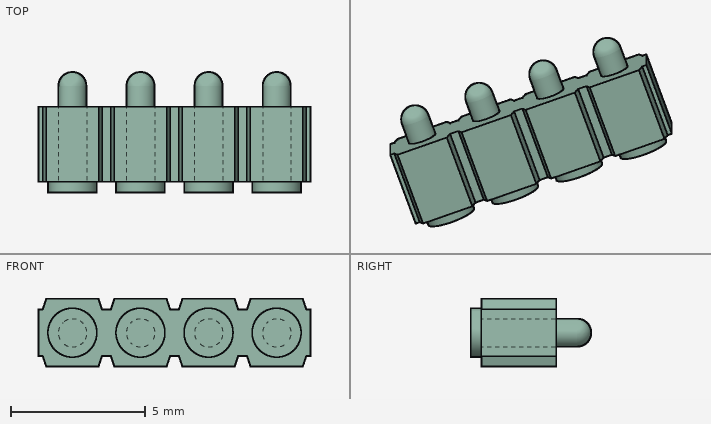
import cadquery as cq

pin_count = 4
pitch = 2.54
housing_length = pin_count * pitch
housing_depth = 2.8
housing_height = 2.54

notch_depth = 0.4
notch_floor_width = 0.33
notch_mouth_width = 0.59

head_diameter = 1.83
head_thickness = 0.4
shaft_diameter = 1.06
shaft_radius = shaft_diameter / 2
pin_projection = 1.3

pin_positions = [(i - (pin_count - 1) / 2) * pitch for i in range(pin_count)]
notch_positions = [i * pitch - housing_length / 2 for i in range(pin_count + 1)]


def make_notch(x, side):
    """Notch cutter centred at x, on the top (side = 1) or the bottom (side = -1)."""
    mouth_z = side * housing_height / 2
    floor_z = side * (housing_height / 2 - notch_depth)
    outline = [
        (x - notch_mouth_width / 2, mouth_z),
        (x - notch_floor_width / 2, floor_z),
        (x + notch_floor_width / 2, floor_z),
        (x + notch_mouth_width / 2, mouth_z),
    ]
    return cq.Workplane("XZ").polyline(outline).close().extrude(-housing_depth)


def make_housing():
    """Notched block with a through hole for each pin shaft."""
    body = cq.Workplane("XZ").rect(housing_length, housing_height).extrude(-housing_depth)
    for x in notch_positions:
        for side in (1, -1):
            body = body.cut(make_notch(x, side))
    holes = (
        cq.Workplane("XZ")
        .pushPoints([(x, 0) for x in pin_positions])
        .circle(shaft_radius)
        .extrude(-housing_depth)
    )
    return body.cut(holes)


def make_pin(x):
    """Headed pin with a hemispherical nose, revolved about its own axis at x."""
    tip_y = housing_depth + pin_projection
    nose_start_y = tip_y - shaft_radius
    nose_mid = shaft_radius * 0.5**0.5
    profile = (
        cq.Workplane("XY")
        .moveTo(0, -head_thickness)
        .lineTo(head_diameter / 2, -head_thickness)
        .lineTo(head_diameter / 2, 0)
        .lineTo(shaft_radius, 0)
        .lineTo(shaft_radius, nose_start_y)
        .threePointArc((nose_mid, nose_start_y + nose_mid), (0, tip_y))
        .close()
    )
    pin = profile.revolve(360, (0, 0, 0), (0, 1, 0))
    return pin.translate((x, 0, 0))


housing = make_housing()
pins = [make_pin(x) for x in pin_positions]

result = cq.Compound.makeCompound([housing.val(), *[pin.val() for pin in pins]])